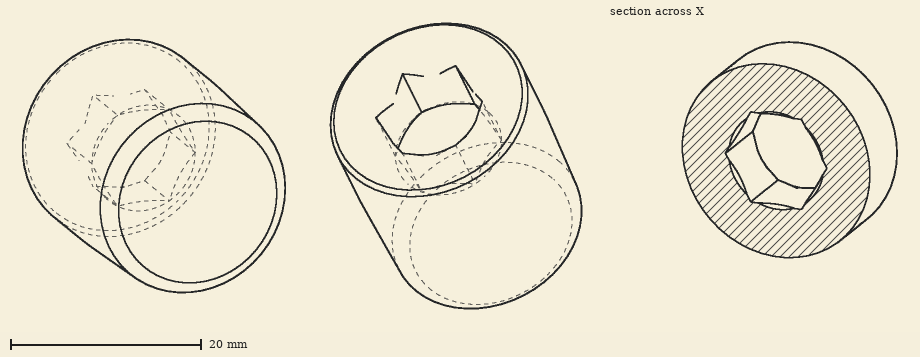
import cadquery as cq
import math

length = 24.7
head_radius = 10.75
head_length = 9.7
head_chamfer = 0.5
taper_ratio = 1 / 32
tip_chamfer = 1.5

hex_across_flats = 10.0
hex_depth = 8.0
mouth_radius = 7.0
cone_included_angle = 120.0

hex_inradius = hex_across_flats / 2
hex_across_corners = hex_across_flats / math.cos(math.radians(30))

relief_radius = hex_across_corners / 2
relief_half_width = relief_radius - hex_inradius
relief_start = hex_depth - relief_half_width
relief_end = hex_depth + relief_half_width


def plug_body():
    """Chamfered cylinder followed by a tapered barrel with a chamfered tip."""
    taper_end = length - tip_chamfer
    taper_end_radius = head_radius - (taper_end - head_length) * taper_ratio
    profile = (
        cq.Workplane("XY")
        .moveTo(0, 0)
        .lineTo(0, head_radius - head_chamfer)
        .lineTo(head_chamfer, head_radius)
        .lineTo(head_length, head_radius)
        .lineTo(taper_end, taper_end_radius)
        .lineTo(length, taper_end_radius - tip_chamfer)
        .lineTo(length, 0)
        .close()
    )
    return profile.revolve(360, (0, 0, 0), (1, 0, 0))


def hex_prism():
    """Hexagon with two corners on the Y axis and flats facing +Z and -Z."""
    return cq.Workplane("YZ").polygon(6, hex_across_corners).extrude(hex_depth)


def relief_and_drill_point():
    """V-shaped groove at the end of the hexagon, followed by the conical drill point."""
    cone_depth = hex_inradius / math.tan(math.radians(cone_included_angle / 2))
    profile = (
        cq.Workplane("XY")
        .moveTo(relief_start, 0)
        .lineTo(relief_start, hex_inradius)
        .lineTo(hex_depth, relief_radius)
        .lineTo(relief_end, hex_inradius)
        .lineTo(relief_end + cone_depth, 0)
        .close()
    )
    return profile.revolve(360, (0, 0, 0), (1, 0, 0))


def rounded_mouth():
    """Flared entry whose convex round runs from the end face to the hexagon flats."""
    round_radius = mouth_radius - hex_inradius
    arc_offset = round_radius * math.sin(math.radians(45))
    arc_middle = (round_radius - arc_offset, mouth_radius - arc_offset)
    profile = (
        cq.Workplane("XY")
        .moveTo(0, 0)
        .lineTo(0, mouth_radius)
        .threePointArc(arc_middle, (round_radius, hex_inradius))
        .lineTo(round_radius, 0)
        .close()
    )
    return profile.revolve(360, (0, 0, 0), (1, 0, 0))


result = plug_body().cut(hex_prism()).cut(relief_and_drill_point()).cut(rounded_mouth())